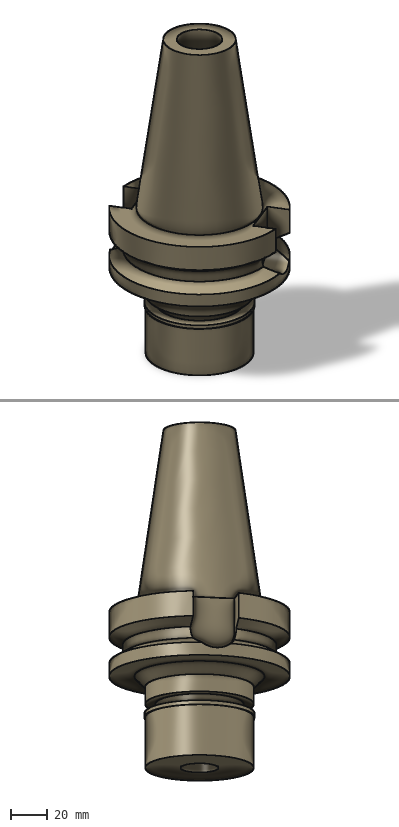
import cadquery as cq


gauge_radius = 69.85 / 2
taper_length = 101.8
taper_ratio = 7 / 24
taper_tip_radius = gauge_radius - taper_length * taper_ratio / 2

flange_radius = 50.0
flange_top_z = -1.5
flange_bottom_z = -38.0
groove_radius = 42.5
groove_side_height = 4.3
groove_floor_top_z = -20.0
groove_floor_bottom_z = -26.4
groove_top_z = groove_floor_top_z + groove_side_height
groove_bottom_z = groove_floor_bottom_z - groove_side_height

slot_width = 25.7
slot_floor_x = 35.3
slot_bottom_z = -33.6
slot_round_z = slot_bottom_z + slot_width / 2

collar_radius = 30.0
collar_cone_height = 6.0
collar_cone_bottom_z = flange_bottom_z - collar_cone_height
collar_bottom_z = -53.8
neck_radius = 24.5

nut_top_z = -59.0
nut_length = 31.0
nut_bottom_z = nut_top_z - nut_length
nut_radius = 30.0
nut_rim_radius = 30.5
nut_rim_height = 2.3

bore_radius = 21.0 / 2
counterbore_radius = 25.0 / 2
counterbore_depth = 13.0
counterbore_z = taper_length - counterbore_depth


def revolve_profile(points):
    """Turn a closed (radius, z) outline about the Z axis."""
    return cq.Workplane("XZ").polyline(points).close().revolve(360, (0, 0, 0), (0, 1, 0))


def drive_slot(side):
    """Cutter for one drive slot: open at the top, rounded at the bottom; side is +1 or -1."""
    half_width = slot_width / 2
    return (
        cq.Workplane("YZ", origin=(side * slot_floor_x, 0, 0))
        .moveTo(-half_width, 0)
        .lineTo(-half_width, slot_round_z)
        .threePointArc((0, slot_bottom_z), (half_width, slot_round_z))
        .lineTo(half_width, 0)
        .close()
        .extrude(side * flange_radius)
    )


def make_holder():
    """Taper shank, grooved flange, collar and neck in one body."""
    holder = revolve_profile([
        (counterbore_radius, taper_length),
        (taper_tip_radius, taper_length),
        (gauge_radius, 0),
        (gauge_radius, flange_top_z),
        (flange_radius, flange_top_z),
        (flange_radius, groove_top_z),
        (groove_radius, groove_floor_top_z),
        (groove_radius, groove_floor_bottom_z),
        (flange_radius, groove_bottom_z),
        (flange_radius, flange_bottom_z),
        (collar_radius + collar_cone_height, flange_bottom_z),
        (collar_radius, collar_cone_bottom_z),
        (collar_radius, collar_bottom_z),
        (neck_radius, collar_bottom_z),
        (neck_radius, nut_top_z),
        (bore_radius, nut_top_z),
        (bore_radius, counterbore_z),
        (counterbore_radius, counterbore_z),
    ])
    for side in (-1, 1):
        holder = holder.cut(drive_slot(side))
    return holder


def make_nut():
    """Bored nut with a thin raised rim at its top, seated against the end of the neck."""
    nut_rim_bottom_z = nut_top_z - nut_rim_height
    return revolve_profile([
        (bore_radius, nut_top_z),
        (nut_rim_radius, nut_top_z),
        (nut_rim_radius, nut_rim_bottom_z),
        (nut_radius, nut_rim_bottom_z),
        (nut_radius, nut_bottom_z),
        (bore_radius, nut_bottom_z),
    ])


holder = make_holder()
nut = make_nut()

result = cq.Compound.makeCompound([holder.val(), nut.val()])